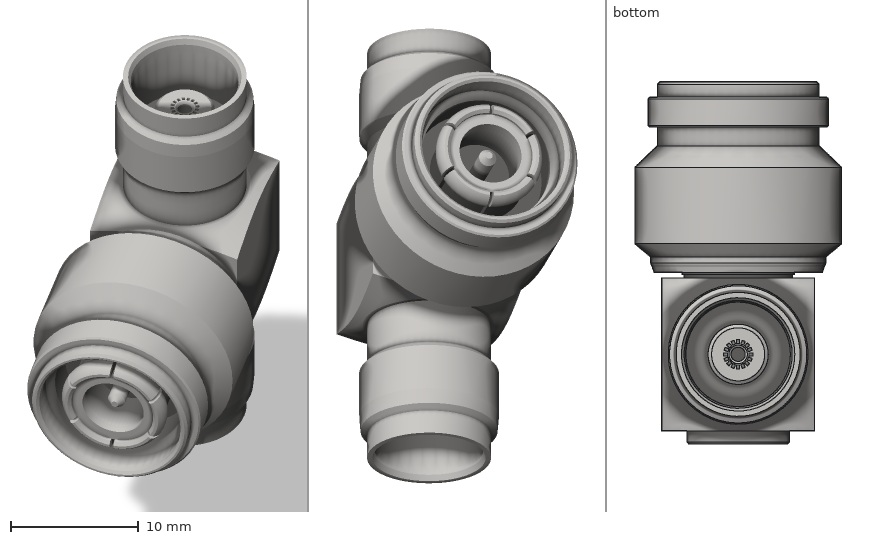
import cadquery as cq
import math


block_side = 11.97
block_half = block_side / 2
block_cone_start = 5.2
block_cone_angle = 21.0

back_end = 7.02
back_boss_radius = 4.0
back_boss_chamfer = 0.17

jack_end = 17.3
jack_neck_radius = 4.85
jack_collar_radius = 5.45
jack_collar_tip_radius = 5.35
jack_collar_low = 10.07
jack_collar_high = 13.77
jack_collar_tip = 14.98
jack_collar_tip_end = 15.4
jack_mouth_radius = 4.43
jack_bore_radius = 4.22
jack_bore_floor_radius = 4.1
jack_mouth_depth = 0.45
jack_bore_depth = 5.55
jack_boss_depth = 3.22
jack_boss_radius = 2.35
jack_boss_chamfer = 0.28
contact_radius = 1.15
contact_slot_inner_radius = 0.83
contact_rim_radius = 0.73
contact_rim_depth = 0.17
contact_hole_radius = 0.55
contact_slot_depth = 0.35
contact_slot_width = 0.25
contact_slot_count = 16
contact_hole_depth = 2.77

plug_end = 21.3
plug_joint_radius = 4.25
plug_joint_end = 6.23
plug_neck_radius = 4.4
shell_start = 6.4
shell_start_radius = 6.57
shell_step_start = 6.9
shell_step_start_radius = 6.75
shell_step_end = 7.13
shell_step_radius = 6.85
shell_cone_start = 7.6
shell_radius = 8.1
shell_body_start = 8.65
shell_body_end = 14.6
shell_nose_start = 16.3
shell_nose_radius = 6.33
band_radius = 7.05
band_start = 17.75
band_end = 20.1
band_chamfer = 0.15
nose_chamfer = 0.2

mouth_radius = 5.95
mouth_chamfer = 0.2
cavity_radius = mouth_radius - mouth_chamfer
cavity_floor_radius = 5.2
cavity_cone_depth = 2.05
cavity_cone_end_depth = 2.7
cavity_depth = 5.55

sleeve_depth = 0.62
sleeve_bulge_depth = 1.6
sleeve_bulge_end_depth = 2.55
sleeve_radius = 3.8
sleeve_bulge_radius = 4.25
sleeve_chamfer = 0.25
sleeve_slot_width = 0.3
sleeve_slot_count = 6
insulator_depth = 1.1
insulator_radius = 3.32
insulator_bore_radius = 2.5
insulator_bore_depth = 5.2

pin_depth = 1.52
pin_radius = 0.7
pin_tip_radius = 0.28
pin_tip_length = 0.52


def revolve_about_z(points):
    """Revolve a closed outline of (radius, z) points about Z."""
    return cq.Workplane("XZ").polyline(points).close().revolve(360, (0, 0), (0, 1))


def revolve_about_y(points):
    """Revolve a closed outline of (radius, y) points about Y."""
    return cq.Workplane("XY").polyline(points).close().revolve(360, (0, 0), (0, 1))


def from_plug_end(depth):
    return depth - plug_end


def make_block():
    """Cube whose top and bottom corners are cut back by shallow cones."""
    cone_radius = block_side
    drop = (cone_radius - block_cone_start) * math.tan(math.radians(block_cone_angle))
    cones = revolve_about_z([
        (0, -block_half),
        (block_cone_start, -block_half),
        (cone_radius, drop - block_half),
        (cone_radius, block_half - drop),
        (block_cone_start, block_half),
        (0, block_half),
    ])
    return cq.Workplane("XY").box(block_side, block_side, block_side).intersect(cones)


def make_back_boss():
    return revolve_about_y([
        (0, 0),
        (back_boss_radius, 0),
        (back_boss_radius, back_end - back_boss_chamfer),
        (back_boss_radius - back_boss_chamfer, back_end),
        (0, back_end),
    ])


def make_jack():
    """Upper jack: collared tube with a tapered bore and a slotted socket contact."""
    collar_rise = jack_collar_radius - jack_neck_radius
    boss_top = jack_end - jack_boss_depth
    bore_floor = jack_end - jack_bore_depth
    jack = revolve_about_z([
        (0, 0),
        (jack_neck_radius, 0),
        (jack_neck_radius, jack_collar_low - collar_rise),
        (jack_collar_radius, jack_collar_low),
        (jack_collar_radius, jack_collar_high),
        (jack_collar_tip_radius, jack_collar_tip),
        (jack_neck_radius, jack_collar_tip_end),
        (jack_neck_radius, jack_end),
        (jack_mouth_radius, jack_end),
        (jack_bore_radius, jack_end - jack_mouth_depth),
        (jack_bore_floor_radius, bore_floor),
        (jack_boss_radius, bore_floor),
        (jack_boss_radius, boss_top - jack_boss_chamfer),
        (jack_boss_radius - jack_boss_chamfer, boss_top),
        (contact_rim_radius, boss_top),
        (contact_hole_radius, boss_top - contact_rim_depth),
        (contact_hole_radius, boss_top - contact_hole_depth),
        (0, boss_top - contact_hole_depth),
    ])
    slot_middle = (contact_radius + contact_slot_inner_radius) / 2
    slot_length = contact_radius - contact_slot_inner_radius
    slots = (
        cq.Workplane("XY", origin=(0, 0, boss_top))
        .polarArray(slot_middle, 0, 360, contact_slot_count)
        .rect(slot_length, contact_slot_width)
        .extrude(-contact_slot_depth)
    )
    return jack.cut(slots)


def make_shell():
    """Outside of the plug, solid through the middle."""
    return revolve_about_y([
        (0, 0),
        (plug_joint_radius, 0),
        (plug_joint_radius, -plug_joint_end),
        (plug_neck_radius, -plug_joint_end),
        (plug_neck_radius, -shell_start),
        (shell_start_radius, -shell_start),
        (shell_step_start_radius, -shell_step_start),
        (shell_step_radius, -shell_step_end),
        (shell_step_radius, -shell_cone_start),
        (shell_radius, -shell_body_start),
        (shell_radius, -shell_body_end),
        (shell_nose_radius, -shell_nose_start),
        (shell_nose_radius, -band_start),
        (band_radius - band_chamfer, -band_start),
        (band_radius, -band_start - band_chamfer),
        (band_radius, -band_end + band_chamfer),
        (band_radius - band_chamfer, -band_end),
        (shell_nose_radius, -band_end),
        (shell_nose_radius, -plug_end + nose_chamfer),
        (shell_nose_radius - nose_chamfer, -plug_end),
        (0, -plug_end),
    ])


def make_cavity():
    return revolve_about_y([
        (0, -plug_end),
        (mouth_radius, -plug_end),
        (cavity_radius, from_plug_end(mouth_chamfer)),
        (cavity_radius, from_plug_end(cavity_cone_depth)),
        (cavity_floor_radius, from_plug_end(cavity_cone_end_depth)),
        (cavity_floor_radius, from_plug_end(cavity_depth)),
        (0, from_plug_end(cavity_depth)),
    ])


def make_sleeve():
    """Bulged spring sleeve, divided into fingers by radial slots."""
    front = from_plug_end(sleeve_depth)
    floor = from_plug_end(cavity_depth)
    sleeve = (
        cq.Workplane("XY")
        .moveTo(insulator_radius, floor)
        .lineTo(sleeve_radius, floor)
        .lineTo(sleeve_radius, from_plug_end(sleeve_bulge_end_depth))
        .threePointArc((sleeve_bulge_radius, from_plug_end(sleeve_bulge_depth)), (sleeve_radius, front))
        .lineTo(insulator_radius + sleeve_chamfer, front)
        .lineTo(insulator_radius, front + sleeve_chamfer)
        .close()
        .revolve(360, (0, 0), (0, 1))
    )
    slots = (
        cq.Workplane("XZ", origin=(0, floor, 0))
        .polarArray(sleeve_radius, 90, 360, sleeve_slot_count)
        .rect(sleeve_radius, sleeve_slot_width)
        .extrude(cavity_depth)
    )
    return sleeve.cut(slots)


def make_insulator_and_pin():
    """Hollow insulator with the pointed centre pin standing in its bore."""
    face = from_plug_end(insulator_depth)
    bore_floor = from_plug_end(insulator_bore_depth)
    pin_tip = from_plug_end(pin_depth)
    return revolve_about_y([
        (0, from_plug_end(cavity_depth)),
        (insulator_radius, from_plug_end(cavity_depth)),
        (insulator_radius, face),
        (insulator_bore_radius, face),
        (insulator_bore_radius, bore_floor),
        (pin_radius, bore_floor),
        (pin_radius, pin_tip + pin_tip_length),
        (pin_tip_radius, pin_tip),
        (0, pin_tip),
    ])


upper_jack = make_jack()
lower_jack = upper_jack.mirror("XY")
plug = (
    make_shell()
    .cut(make_cavity())
    .union(make_sleeve())
    .union(make_insulator_and_pin())
)
result = make_block().union(make_back_boss()).union(plug)
result = result.union(upper_jack).union(lower_jack)